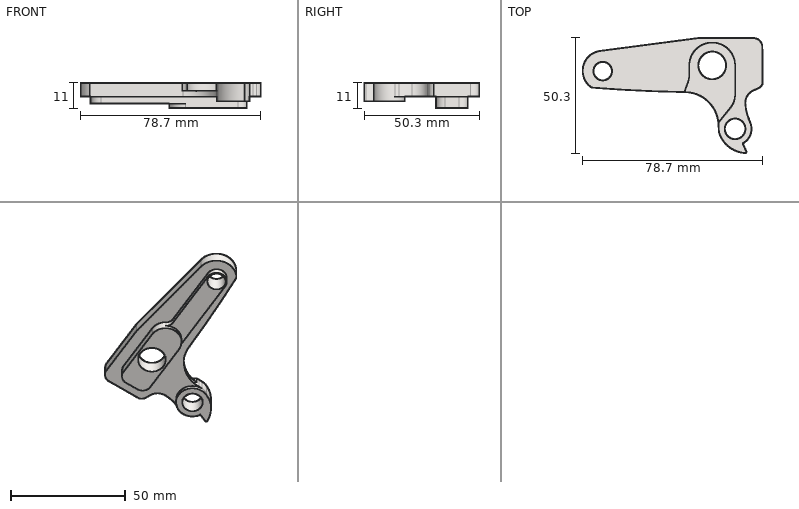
import cadquery as cq
import math


PLATE_THICKNESS = 6.0
HANGER_THICKNESS = 8.0
RIB_DEPTH = 9.0
BOSS_DEPTH = 11.0
POCKET_DEPTH = 3.5

AXLE_HOLE_DIAMETER = 12.0
ARM_HOLE_DIAMETER = 8.0
HANGER_HOLE_DIAMETER = 8.9
ARM_HOLE = (-47.8, -2.5)
HANGER_HOLE = (10.0, -27.7)

ARM_END_CENTRE = (-47.8, -2.35)
ARM_END_RADIUS = 8.8
PLATE_TOP_Y = 12.0
SLOPE_TOP = (-6.0, PLATE_TOP_Y)
CORNER_RADIUS = 4.0
RIGHT_EDGE_TOP_X = 21.95
RIGHT_EDGE_BOTTOM = (22.07, -7.9)
NOSE_MIDDLE = (21.45, -9.0)
NOSE_END = (20.2, -10.0)
NECK_START = (18.5, -10.75)
NECK_MIDDLE = (15.3, -13.4)
NECK_END = (14.6, -17.4)
NECK_FLARE_MIDDLE = (15.0, -20.2)
NECK_FLARE_END = (16.0, -23.2)
ARM_LOWER_LEFT_ANGLE = 237.0
ARM_LOWER_MIDDLE = (-32.0, -11.05)
RELIEF_CENTRE = (-11.9, -26.3)
RELIEF_RADIUS = 14.6

EYE_RADIUS = 7.2
EYE_NECK_ANGLE = 22.0
HOOK_ROOT_ANGLE = -62.0
HOOK_BACK_ANGLE = 203.0
HOOK_BACK_MIDDLE = (6.8, -35.2)
HOOK_TIP_CENTRE = (14.4, -37.75)
HOOK_TIP_RADIUS = 0.58
HOOK_TIP_BACK_ANGLE = -90.0
HOOK_TIP_FRONT_ANGLE = 24.0

POCKET_RADIUS = 10.0
POCKET_LEFT_BEND_RADIUS = 10.0
POCKET_LEFT_BEND_Y = -4.0
POCKET_LEFT_BEND_ANGLE = 20.0
POCKET_BEND_RADIUS = 9.0
POCKET_BEND_Y = -12.8
POCKET_BEND_ANGLE = 40.0
POCKET_RIGHT_MOUTH = (1.8, -26.1)
POCKET_LEFT_MOUTH = (-12.68, -13.1)

BOSS_RADIUS = 7.0
BOSS_ROUND_X = -10.9
BOSS_RIGHT_X = 16.0
BOSS_CORNER_RADIUS = 4.0
RIB_RADIUS = 4.5
RIB_BLEND_RADIUS = 3.5


def on_circle(centre, radius, angle):
    """Point on a circle at an angle in degrees from +X."""
    a = math.radians(angle)
    return (centre[0] + radius * math.cos(a), centre[1] + radius * math.sin(a))


def tangent_angle(centre, radius, point):
    """Angle at which the line from a point on the right touches the top of a circle."""
    dx = point[0] - centre[0]
    dy = point[1] - centre[1]
    return math.degrees(math.atan2(dy, dx) + math.acos(radius / math.hypot(dx, dy)))


def around_hanger(sketch):
    """Continue from the left of the eye, round the hook and the eye, up to the neck."""
    tip_middle_angle = (HOOK_TIP_BACK_ANGLE + HOOK_TIP_FRONT_ANGLE) / 2
    tip_back = on_circle(HOOK_TIP_CENTRE, HOOK_TIP_RADIUS, HOOK_TIP_BACK_ANGLE)
    tip_middle = on_circle(HOOK_TIP_CENTRE, HOOK_TIP_RADIUS, tip_middle_angle)
    tip_front = on_circle(HOOK_TIP_CENTRE, HOOK_TIP_RADIUS, HOOK_TIP_FRONT_ANGLE)
    return (
        sketch.threePointArc(
            on_circle(HANGER_HOLE, EYE_RADIUS, (180 + HOOK_BACK_ANGLE) / 2),
            on_circle(HANGER_HOLE, EYE_RADIUS, HOOK_BACK_ANGLE),
        )
        .threePointArc(HOOK_BACK_MIDDLE, tip_back)
        .threePointArc(tip_middle, tip_front)
        .lineTo(*on_circle(HANGER_HOLE, EYE_RADIUS, HOOK_ROOT_ANGLE))
        .threePointArc(
            on_circle(HANGER_HOLE, EYE_RADIUS, 0),
            on_circle(HANGER_HOLE, EYE_RADIUS, EYE_NECK_ANGLE),
        )
    )


def make_plate():
    upper_angle = tangent_angle(ARM_END_CENTRE, ARM_END_RADIUS, SLOPE_TOP)
    arm_upper = on_circle(ARM_END_CENTRE, ARM_END_RADIUS, upper_angle)
    arm_left = on_circle(ARM_END_CENTRE, ARM_END_RADIUS, 180)
    arm_lower = on_circle(ARM_END_CENTRE, ARM_END_RADIUS, ARM_LOWER_LEFT_ANGLE)
    relief_start = on_circle(RELIEF_CENTRE, RELIEF_RADIUS, 90)
    relief_middle = on_circle(RELIEF_CENTRE, RELIEF_RADIUS, 45)
    relief_end = on_circle(RELIEF_CENTRE, RELIEF_RADIUS, 0)
    corner_centre = (RIGHT_EDGE_TOP_X - CORNER_RADIUS, PLATE_TOP_Y - CORNER_RADIUS)

    sketch = (
        cq.Workplane("XY")
        .moveTo(*arm_lower)
        .threePointArc(ARM_LOWER_MIDDLE, relief_start)
        .threePointArc(relief_middle, relief_end)
        .lineTo(*on_circle(HANGER_HOLE, EYE_RADIUS, 180))
    )
    return (
        around_hanger(sketch)
        .lineTo(*NECK_FLARE_END)
        .threePointArc(NECK_FLARE_MIDDLE, NECK_END)
        .threePointArc(NECK_MIDDLE, NECK_START)
        .lineTo(*NOSE_END)
        .threePointArc(NOSE_MIDDLE, RIGHT_EDGE_BOTTOM)
        .lineTo(*on_circle(corner_centre, CORNER_RADIUS, 0))
        .threePointArc(
            on_circle(corner_centre, CORNER_RADIUS, 45),
            on_circle(corner_centre, CORNER_RADIUS, 90),
        )
        .lineTo(*SLOPE_TOP)
        .lineTo(*arm_upper)
        .threePointArc(arm_left, arm_lower)
        .close()
        .extrude(-PLATE_THICKNESS)
    )


def make_hanger():
    """Eye and hook continued below the plate, where the hanger is thicker."""
    eye_left = on_circle(HANGER_HOLE, EYE_RADIUS, 180)
    sketch = cq.Workplane("XY").workplane(offset=-PLATE_THICKNESS).moveTo(*eye_left)
    return (
        around_hanger(sketch)
        .threePointArc(on_circle(HANGER_HOLE, EYE_RADIUS, 90), eye_left)
        .close()
        .extrude(PLATE_THICKNESS - HANGER_THICKNESS)
    )


def make_boss():
    """Boss under the axle hole: round on the left, rounded corners on the right."""
    return (
        cq.Workplane("XY")
        .workplane(offset=-PLATE_THICKNESS)
        .moveTo(BOSS_ROUND_X, -BOSS_RADIUS)
        .lineTo(BOSS_RIGHT_X, -BOSS_RADIUS)
        .lineTo(BOSS_RIGHT_X, BOSS_RADIUS)
        .lineTo(BOSS_ROUND_X, BOSS_RADIUS)
        .threePointArc((BOSS_ROUND_X - BOSS_RADIUS, 0), (BOSS_ROUND_X, -BOSS_RADIUS))
        .close()
        .extrude(PLATE_THICKNESS - BOSS_DEPTH)
        .edges("|Z and >X")
        .fillet(BOSS_CORNER_RADIUS)
    )


def make_rib():
    """Rib from the arm hole to the boss, blended into the boss's round end on its upper side."""
    rib_top = ARM_HOLE[1] + RIB_RADIUS
    blend_y = rib_top + RIB_BLEND_RADIUS
    blend_x = BOSS_ROUND_X - math.sqrt((BOSS_RADIUS + RIB_BLEND_RADIUS) ** 2 - blend_y**2)
    blend_centre = (blend_x, blend_y)
    touch_angle = math.degrees(math.atan2(-blend_y, BOSS_ROUND_X - blend_x))
    return (
        cq.Workplane("XY")
        .workplane(offset=-PLATE_THICKNESS)
        .moveTo(ARM_HOLE[0], rib_top)
        .lineTo(blend_x, rib_top)
        .threePointArc(
            on_circle(blend_centre, RIB_BLEND_RADIUS, (touch_angle - 90) / 2),
            on_circle(blend_centre, RIB_BLEND_RADIUS, touch_angle),
        )
        .lineTo(BOSS_ROUND_X, 0)
        .lineTo(BOSS_ROUND_X, -BOSS_RADIUS)
        .lineTo(ARM_HOLE[0], ARM_HOLE[1] - RIB_RADIUS)
        .threePointArc((ARM_HOLE[0] - RIB_RADIUS, ARM_HOLE[1]), (ARM_HOLE[0], rib_top))
        .close()
        .extrude(PLATE_THICKNESS - RIB_DEPTH)
    )


def make_pocket():
    """Pocket round the axle hole, open along the relief arc."""
    left_bend_centre = (-POCKET_RADIUS - POCKET_LEFT_BEND_RADIUS, POCKET_LEFT_BEND_Y)
    bend_centre = (POCKET_RADIUS - POCKET_BEND_RADIUS, POCKET_BEND_Y)
    return (
        cq.Workplane("XY")
        .moveTo(*POCKET_LEFT_MOUTH)
        .lineTo(*on_circle(left_bend_centre, POCKET_LEFT_BEND_RADIUS, -POCKET_LEFT_BEND_ANGLE))
        .threePointArc(
            on_circle(left_bend_centre, POCKET_LEFT_BEND_RADIUS, -POCKET_LEFT_BEND_ANGLE / 2),
            on_circle(left_bend_centre, POCKET_LEFT_BEND_RADIUS, 0),
        )
        .lineTo(-POCKET_RADIUS, 0)
        .threePointArc((0, POCKET_RADIUS), (POCKET_RADIUS, 0))
        .lineTo(POCKET_RADIUS, POCKET_BEND_Y)
        .threePointArc(
            on_circle(bend_centre, POCKET_BEND_RADIUS, -POCKET_BEND_ANGLE / 2),
            on_circle(bend_centre, POCKET_BEND_RADIUS, -POCKET_BEND_ANGLE),
        )
        .lineTo(*POCKET_RIGHT_MOUTH)
        .close()
        .extrude(-POCKET_DEPTH)
    )


def make_hole(centre, diameter):
    return cq.Workplane("XY").center(*centre).circle(diameter / 2).extrude(-BOSS_DEPTH)


result = make_plate().cut(make_pocket()).union(make_hanger()).union(make_boss()).union(make_rib())
for hole_centre, hole_diameter in (
    ((0, 0), AXLE_HOLE_DIAMETER),
    (ARM_HOLE, ARM_HOLE_DIAMETER),
    (HANGER_HOLE, HANGER_HOLE_DIAMETER),
):
    result = result.cut(make_hole(hole_centre, hole_diameter))